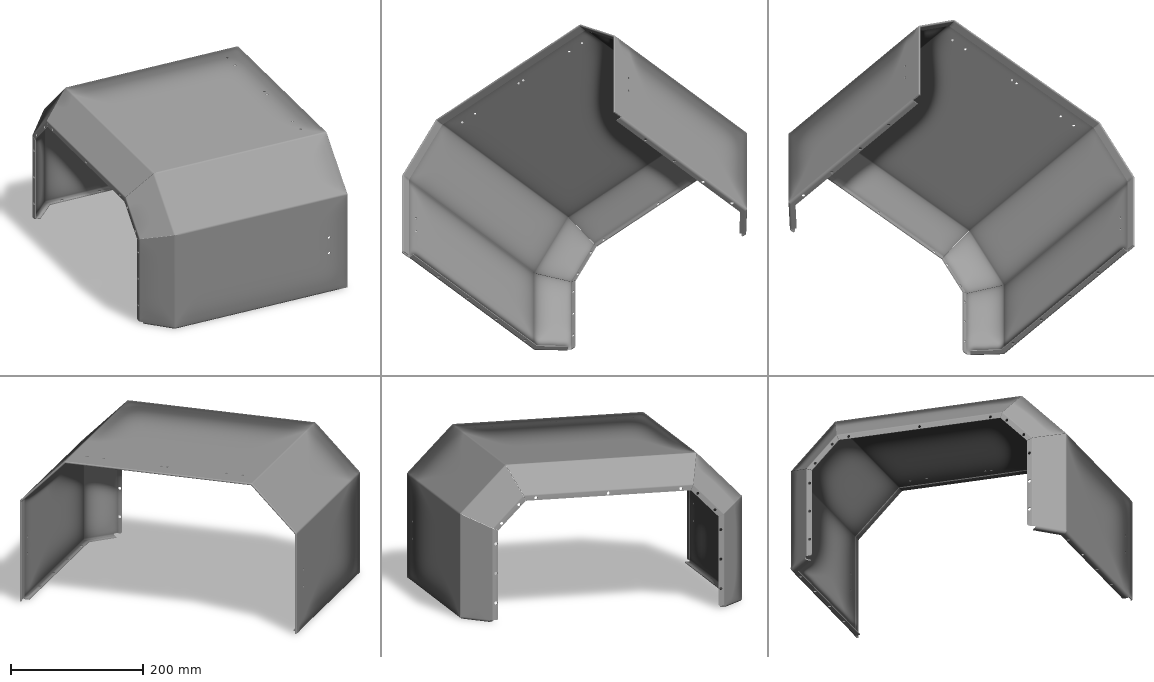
import cadquery as cq
import math

WIDTH = 444.5
LENGTH = 332.21
HEIGHT = 234.95
SLOPE_WIDTH = 101.6
SHEET = 1.5
BEND_OUTER = 4.0
LIP_BEND_OUTER = 3.0
FRONT_TAPER = 40.0
FRONT_LIP = 48.6
BOTTOM_FLANGE = 10.5
HEM_LENGTH = 13.0
HEM_GAP = 0.2
HEM_CLEARANCE = 1.6
HEM_END_HEIGHT = 3.5
RELIEF_LENGTH = 15.0
MITRE_GAP = 0.5
LIP_TIP_RADIUS = 3.0

LIP_HOLE = 4.8
LIP_HOLE_INSET = 45.0
SIDE_LIP_HOLE_HEIGHTS = (30.6, 76.4, 122.2)
SLOPE_LIP_HOLE_PITCH = 38.6
TOP_LIP_HOLE_PITCH = 114.3
PANEL_HOLE = 4.0
PANEL_HOLE_REAR_OFFSET = 31.4
TOP_OUTER_HOLES = (98.2, 125.0)
TOP_CENTRE_HOLE_X = 4.8
TOP_CENTRE_HOLE_REAR_OFFSET = 28.6
SIDE_HOLE_HEIGHTS = (68.0, 95.0)
BOTTOM_HOLE_INSET = 6.5
FIRST_BOTTOM_HOLE = 66.5
BOTTOM_HOLE_PITCH = 63.5
BOTTOM_HOLE_COUNT = 4

HALF_WIDTH = WIDTH / 2
SLOPE_RUN = SLOPE_WIDTH / math.sqrt(2)
BEND_INNER = BEND_OUTER - SHEET
LIP_BEND_INNER = LIP_BEND_OUTER - SHEET
HALF_TURN = math.tan(math.radians(22.5))
HEM_RADIUS = SHEET + HEM_GAP / 2
HEM_START = LENGTH - HEM_RADIUS
OVERSHOOT = 10.0


def towards(start, end, distance):
    """Point at the given distance from start on the way to end."""
    span = math.dist(start[:2], end[:2])
    return tuple(s + (e - s) * distance / span for s, e in zip(start[:2], end[:2]))


def draw_line(plane, corners):
    """Line through (x, y, radius) corners; a radius above zero rounds the corner."""
    outline = None
    for index, corner in enumerate(corners):
        before = corners[index - 1]
        after = corners[(index + 1) % len(corners)]
        radius = corner[2]
        if radius == 0:
            outline = outline.lineTo(*corner[:2]) if outline else plane.moveTo(*corner[:2])
            continue
        to_before = towards(corner, before, 1)
        to_after = towards(corner, after, 1)
        bisector = (to_before[0] + to_after[0] - 2 * corner[0], to_before[1] + to_after[1] - 2 * corner[1])
        half_cosine = math.hypot(*bisector) / 2
        half_sine = math.sqrt(1 - half_cosine ** 2)
        tangent = radius * half_cosine / half_sine
        reach = radius / half_sine - radius
        middle = tuple(c + b * reach / (2 * half_cosine) for c, b in zip(corner[:2], bisector))
        outline = outline.lineTo(*towards(corner, before, tangent))
        outline = outline.threePointArc(middle, towards(corner, after, tangent))
    return outline


def draw_outline(plane, corners):
    """Closed outline through (x, y, radius) corners."""
    return draw_line(plane, corners).close()


def arch_corners(inset):
    """Left-to-right shoulder corners (x, z) of the arch, moved inwards by inset."""
    shift = inset * HALF_TURN
    outer = HALF_WIDTH - inset
    shoulder = HEIGHT - SLOPE_RUN - shift
    crown = HALF_WIDTH - SLOPE_RUN - shift
    top = HEIGHT - inset
    return [(-outer, shoulder), (-crown, top), (crown, top), (outer, shoulder)]


def with_mirror_image(body):
    """Body together with its mirror image across the symmetry plane."""
    return body.union(body.mirror("YZ"))


def make_arch_sheet():
    """Side walls, shoulders and top, with the rear edge folded back onto the inside."""
    front = FRONT_TAPER + BEND_OUTER
    hem_tip = LENGTH - HEM_LENGTH
    leaf_outer = SHEET + HEM_GAP
    leaf_inner = leaf_outer + SHEET
    corners = [(x, z, BEND_OUTER) for x, z in arch_corners(0)]
    ends = [(sign * HALF_WIDTH, HEM_CLEARANCE, 0) for sign in (-1, 1)]
    path = draw_line(cq.Workplane("XZ"), [ends[0], *corners, ends[1]])
    section = (
        cq.Workplane("XY", origin=(-HALF_WIDTH, 0, HEM_CLEARANCE))
        .moveTo(0, front)
        .lineTo(0, HEM_START)
        .threePointArc((HEM_RADIUS, LENGTH), (leaf_inner, HEM_START))
        .lineTo(leaf_inner, hem_tip)
        .lineTo(leaf_outer, hem_tip)
        .lineTo(leaf_outer, HEM_START)
        .threePointArc((HEM_RADIUS, HEM_START + HEM_GAP / 2), (SHEET, HEM_START))
        .lineTo(SHEET, front)
        .close()
    )
    relief = cq.Workplane("XY").box(
        2 * WIDTH, LENGTH - RELIEF_LENGTH, BEND_OUTER, centered=(True, False, False)
    )
    relief_end = LENGTH - RELIEF_LENGTH
    leaf_end = cq.Workplane("XY", origin=(0, relief_end, 0)).box(
        WIDTH - 2 * leaf_outer, HEM_START - relief_end, HEM_END_HEIGHT, centered=(True, False, False)
    )
    return section.sweep(path).cut(relief).cut(leaf_end)


def make_front():
    """Front panels tapering inwards at 45 degrees and ending in a flange parallel to XZ."""
    rear = FRONT_TAPER + BEND_OUTER
    shift = SHEET * HALF_TURN
    section = [
        (0, rear, 0),
        (0, FRONT_TAPER, BEND_OUTER),
        (FRONT_TAPER, 0, LIP_BEND_OUTER),
        (FRONT_LIP, 0, 0),
        (FRONT_LIP, SHEET, 0),
        (FRONT_TAPER + shift, SHEET, LIP_BEND_INNER),
        (SHEET, FRONT_TAPER + shift, BEND_INNER),
        (SHEET, rear, 0),
    ]
    ends = [(sign * HALF_WIDTH, BEND_OUTER) for sign in (-1, 1)]
    path = cq.Workplane("XZ").polyline([ends[0], *arch_corners(0), ends[1]])
    plane = cq.Workplane("XY", origin=(-HALF_WIDTH, 0, BEND_OUTER))
    front = draw_outline(plane, section).sweep(path, transition="right")
    for start, end in zip(arch_corners(-OVERSHOOT), arch_corners(FRONT_LIP + OVERSHOOT)):
        middle = ((start[0] + end[0]) / 2, (start[1] + end[1]) / 2)
        angle = math.degrees(math.atan2(end[1] - start[1], end[0] - start[0]))
        slit = (
            cq.Workplane("XY")
            .box(math.dist(start, end), FRONT_TAPER, MITRE_GAP, centered=(True, False, True))
            .rotate((0, 0, 0), (0, 1, 0), -angle)
            .translate((middle[0], 0, middle[1]))
        )
        front = front.cut(slit)
    tip = HALF_WIDTH - FRONT_LIP + SHEET
    tip_edges = cq.selectors.BoxSelector((-tip, -SHEET, 0), (tip, 2 * SHEET, 2 * BEND_OUTER))
    return front.edges("|Y").edges(tip_edges).fillet(LIP_TIP_RADIUS)


def make_bottom_flange():
    """Left bottom flange: bent inwards along the side wall and along the tapered front panel."""
    rear = LENGTH - RELIEF_LENGTH
    front_end = (-HALF_WIDTH + FRONT_TAPER - BEND_OUTER, BEND_OUTER)
    path = cq.Workplane("XY").polyline([(-HALF_WIDTH, rear), (-HALF_WIDTH, FRONT_TAPER), front_end])
    plane = cq.Workplane("XZ", origin=(-HALF_WIDTH, rear, 0))
    section = [
        (0, BEND_OUTER + SHEET, 0),
        (0, 0, BEND_OUTER),
        (BOTTOM_FLANGE, 0, 0),
        (BOTTOM_FLANGE, SHEET, 0),
        (SHEET, SHEET, BEND_INNER),
        (SHEET, BEND_OUTER + SHEET, 0),
    ]
    flange = draw_outline(plane, section).sweep(path, transition="right")
    hole_x = -HALF_WIDTH + BOTTOM_HOLE_INSET
    hole_points = [
        (hole_x, FIRST_BOTTOM_HOLE + index * BOTTOM_HOLE_PITCH) for index in range(BOTTOM_HOLE_COUNT)
    ]
    holes = cq.Workplane("XY").pushPoints(hole_points).circle(LIP_HOLE / 2).extrude(2 * SHEET)
    return flange.cut(holes)


def make_lip_holes():
    """Cutters along Y for the front flange holes."""
    side = HALF_WIDTH - LIP_HOLE_INSET
    points = [(sign * side, z) for sign in (-1, 1) for z in SIDE_LIP_HOLE_HEIGHTS]
    points += [(x, HEIGHT - LIP_HOLE_INSET) for x in (-TOP_LIP_HOLE_PITCH, 0, TOP_LIP_HOLE_PITCH)]
    lower, upper = arch_corners(LIP_HOLE_INSET)[:2]
    step = SLOPE_LIP_HOLE_PITCH / 2 / math.sqrt(2)
    for shift in (-step, step):
        x = (lower[0] + upper[0]) / 2 + shift
        z = (lower[1] + upper[1]) / 2 + shift
        points += [(x, z), (-x, z)]
    plane = cq.Workplane("XZ", origin=(0, OVERSHOOT, 0))
    return plane.pushPoints(points).circle(LIP_HOLE / 2).extrude(2 * OVERSHOOT)


def make_top_holes():
    """Vertical cutters for the holes near the rear of the top panel."""
    row = LENGTH - PANEL_HOLE_REAR_OFFSET
    centre_row = LENGTH - TOP_CENTRE_HOLE_REAR_OFFSET
    points = [(sign * x, row) for sign in (-1, 1) for x in TOP_OUTER_HOLES]
    points += [(-TOP_CENTRE_HOLE_X, centre_row), (TOP_CENTRE_HOLE_X, centre_row)]
    plane = cq.Workplane("XY", origin=(0, 0, HEIGHT - OVERSHOOT))
    return plane.pushPoints(points).circle(PANEL_HOLE / 2).extrude(2 * OVERSHOOT)


def make_side_holes():
    """Cutters along X through both side walls."""
    row = LENGTH - PANEL_HOLE_REAR_OFFSET
    plane = cq.Workplane("YZ", origin=(-HALF_WIDTH - OVERSHOOT, 0, 0))
    points = [(row, z) for z in SIDE_HOLE_HEIGHTS]
    return plane.pushPoints(points).circle(PANEL_HOLE / 2).extrude(WIDTH + 2 * OVERSHOOT)


shell = make_arch_sheet().union(make_front())
shell = shell.union(with_mirror_image(make_bottom_flange()))
for cutter in (make_lip_holes(), make_top_holes(), make_side_holes()):
    shell = shell.cut(cutter)
result = shell